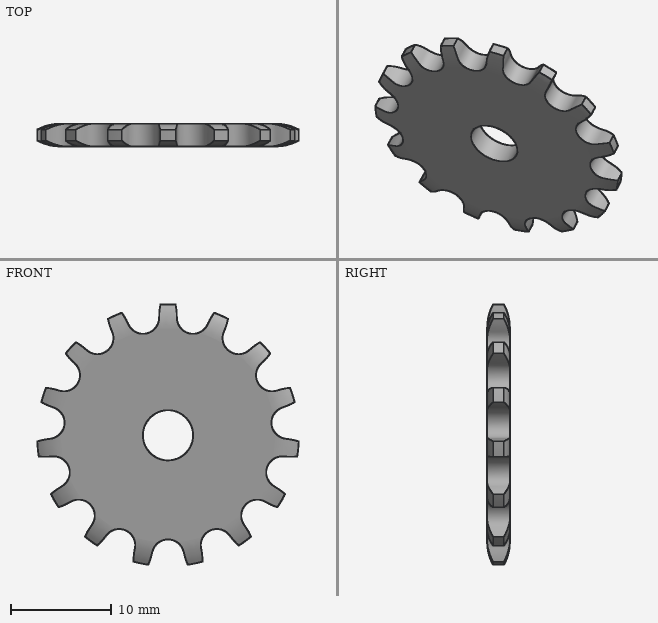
import cadquery as cq
import math

TOOTH_COUNT = 15
TIP_DIAMETER = 26.2
PITCH_RADIUS = 12.0
SEAT_RADIUS = 1.6
FLANK_RADIUS = 6.55
BORE_DIAMETER = 5.0
THICKNESS = 2.3
TIP_THICKNESS = 1.1
FACE_RADIUS = 10.7
RIM_CLEARANCE = 0.25

TIP_RADIUS = TIP_DIAMETER / 2
TOOTH_PITCH = 360.0 / TOOTH_COUNT
FIRST_GAP_ANGLE = 90.0 + TOOTH_PITCH / 2
SEAT_HALF_ANGLE = 90.0 - TOOTH_PITCH / 2


def polar(radius, angle):
    """Point at the given radius and angle in degrees."""
    radians = math.radians(angle)
    return (radius * math.cos(radians), radius * math.sin(radians))


def crowned_blank():
    """Disc about Y whose rim curves in from both side faces towards the tips."""
    half = THICKNESS / 2
    half_tip = TIP_THICKNESS / 2
    crown_reach = TIP_RADIUS - FACE_RADIUS
    crown_depth = half - half_tip
    crown_radius = (crown_reach**2 + crown_depth**2) / (2 * crown_depth)
    half_sweep = math.asin(crown_reach / crown_radius) / 2
    mid_radius = FACE_RADIUS + crown_radius * math.sin(half_sweep)
    mid_y = half - crown_radius * (1 - math.cos(half_sweep))
    return (
        cq.Workplane("XY")
        .moveTo(0, -half)
        .lineTo(FACE_RADIUS, -half)
        .threePointArc((mid_radius, -mid_y), (TIP_RADIUS, -half_tip))
        .lineTo(TIP_RADIUS, half_tip)
        .threePointArc((mid_radius, mid_y), (FACE_RADIUS, half))
        .lineTo(0, half)
        .close()
        .revolve(360, (0, 0, 0), (0, 1, 0))
    )


def tooth_gap():
    """Cutter for one gap, centred on +X and opening outwards, running along Y."""
    direction = 180.0 - SEAT_HALF_ANGLE
    seat_dx, seat_dz = polar(SEAT_RADIUS, direction)
    flank_dx, flank_dz = polar(SEAT_RADIUS + FLANK_RADIUS, direction)
    seat_end = (PITCH_RADIUS + seat_dx, seat_dz)
    flank_center = (PITCH_RADIUS + flank_dx, flank_dz)

    outer_x = TIP_RADIUS + RIM_CLEARANCE
    start_angle = -SEAT_HALF_ANGLE
    end_angle = -math.degrees(math.acos((outer_x - flank_center[0]) / FLANK_RADIUS))

    def flank_point(angle):
        dx, dz = polar(FLANK_RADIUS, angle)
        return (flank_center[0] + dx, flank_center[1] + dz)

    def mirrored(point):
        return (point[0], -point[1])

    flank_mid = flank_point((start_angle + end_angle) / 2)
    flank_end = flank_point(end_angle)
    return (
        cq.Workplane("XZ")
        .moveTo(*flank_end)
        .threePointArc(flank_mid, seat_end)
        .threePointArc((PITCH_RADIUS - SEAT_RADIUS, 0), mirrored(seat_end))
        .threePointArc(mirrored(flank_mid), mirrored(flank_end))
        .close()
        .extrude(THICKNESS / 2, both=True)
    )


sprocket = crowned_blank()
for index in range(TOOTH_COUNT):
    gap_angle = FIRST_GAP_ANGLE + index * TOOTH_PITCH
    sprocket = sprocket.cut(tooth_gap().rotate((0, 0, 0), (0, -1, 0), gap_angle))

bore = cq.Workplane("XZ").circle(BORE_DIAMETER / 2).extrude(THICKNESS / 2, both=True)
result = sprocket.cut(bore)